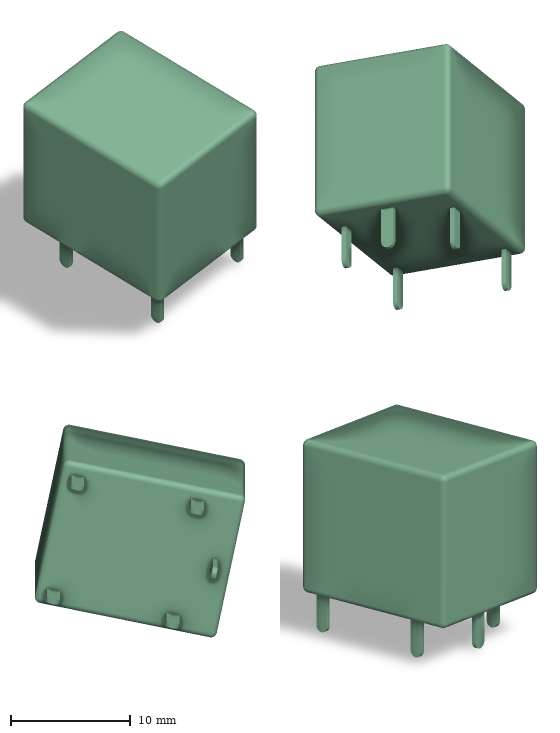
import cadquery as cq

CASE_LENGTH = 15.5
CASE_WIDTH = 12.51
CASE_HEIGHT = 13.5
EDGE_RADIUS = 0.5

OVERALL_HEIGHT = 17.0
PIN_LENGTH = OVERALL_HEIGHT - CASE_HEIGHT
PIN_WIDTH = 1.1
PIN_THICKNESS = 0.4

END_PIN_X = -6.3
SIDE_PIN_XS = (-3.8, 6.4)
SIDE_PIN_Y = 5.0


def make_case():
    """Block standing on Z = 0, rounded along all twelve edges."""
    block = cq.Workplane("XY").box(CASE_LENGTH, CASE_WIDTH, CASE_HEIGHT, centered=(True, True, False))
    return block.edges().fillet(EDGE_RADIUS)


def make_pin(x, y, turn=0):
    """Pin hanging from the case underside, wide along X unless turned about Z (degrees)."""
    half_width = PIN_WIDTH / 2
    shoulder_z = half_width - PIN_LENGTH
    pin = (
        cq.Workplane("XZ")
        .moveTo(-half_width, 0)
        .lineTo(half_width, 0)
        .lineTo(half_width, shoulder_z)
        .threePointArc((0, -PIN_LENGTH), (-half_width, shoulder_z))
        .close()
        .extrude(PIN_THICKNESS / 2, both=True)
    )
    return pin.rotate((0, 0, 0), (0, 0, 1), turn).translate((x, y, 0))


case = make_case()

end_pin = make_pin(END_PIN_X, 0, turn=90)

side_pins = []
for pin_x in SIDE_PIN_XS:
    for pin_y in (-SIDE_PIN_Y, SIDE_PIN_Y):
        side_pins.append(make_pin(pin_x, pin_y).val())

result = cq.Compound.makeCompound([case.val(), end_pin.val(), *side_pins])